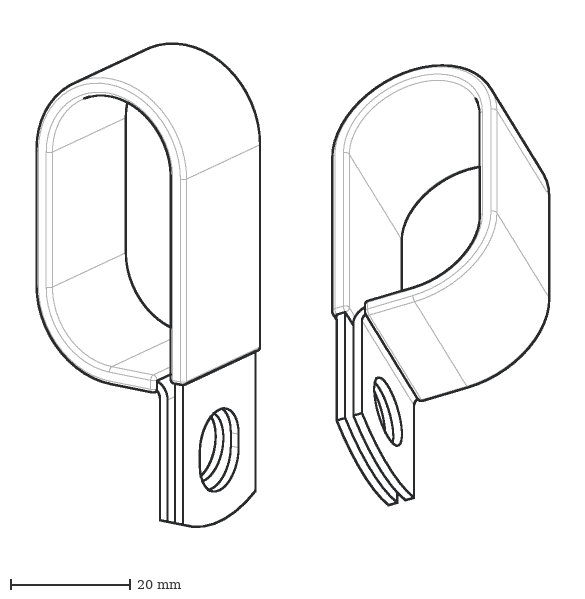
import cadquery as cq

outer_width = 30.0
sleeve_depth = 23.8
overall_height = 78.5

strap_thickness = 1.6
cushion = 0.75
sleeve_thickness = strap_thickness + 2 * cushion
strap_depth = sleeve_depth - 2 * cushion

loop_radius = (outer_width - sleeve_thickness) / 2
loop_straight = 23.8
sleeve_end_x = 9.0
sleeve_end_z = -12.6

tab_gap = 1.5
tab_bend_inner_radius = 1.6
tab_bottom = loop_straight + outer_width / 2 - overall_height
tab_end_rise = 2.4
tab_inner_x = loop_radius - strap_thickness - tab_gap
tab_bend_radius = tab_bend_inner_radius + strap_thickness / 2
tab_bend_start_x = tab_inner_x - tab_bend_radius
hole_diameter = 11.85
hole_height = 12.6
slot_length = 14.2


def extrude_centred(profile, depth):
    """Extrude an XZ profile equally to both sides of the XZ plane."""
    return profile.close().extrude(depth / 2, both=True)


def loop_band(thickness, depth, right_end_z, lower_end_x):
    """Band of constant thickness following the loop from the right end to the lower end."""
    outer = loop_radius + thickness / 2
    inner = loop_radius - thickness / 2
    profile = (
        cq.Workplane("XZ")
        .moveTo(outer, right_end_z)
        .lineTo(outer, loop_straight)
        .threePointArc((0, loop_straight + outer), (-outer, loop_straight))
        .lineTo(-outer, 0)
        .radiusArc((0, -outer), -outer)
        .lineTo(lower_end_x, -outer)
        .lineTo(lower_end_x, -inner)
        .lineTo(0, -inner)
        .radiusArc((-inner, 0), inner)
        .lineTo(-inner, loop_straight)
        .threePointArc((0, loop_straight + inner), (inner, loop_straight))
        .lineTo(inner, right_end_z)
    )
    return extrude_centred(profile, depth)


def cushion_sleeve():
    """Sleeve with rounded rims along both sides and around both ends."""
    sleeve = loop_band(sleeve_thickness, sleeve_depth, sleeve_end_z, sleeve_end_x)
    right_end = cq.selectors.NearestToPointSelector((loop_radius, 0, sleeve_end_z))
    lower_end = cq.selectors.NearestToPointSelector((sleeve_end_x, 0, -loop_radius))
    sides = cq.selectors.ParallelDirSelector(cq.Vector(0, 1, 0))
    return sleeve.faces(sides + right_end + lower_end).edges().fillet(cushion)


def bent_tab():
    """Tab that turns down from the lower end of the loop."""
    half = strap_thickness / 2
    bend_end_z = -loop_radius - tab_bend_radius
    profile = (
        cq.Workplane("XZ")
        .moveTo(tab_bend_start_x, -loop_radius + half)
        .radiusArc((tab_inner_x + half, bend_end_z), tab_bend_radius + half)
        .lineTo(tab_inner_x + half, tab_bottom)
        .lineTo(tab_inner_x - half, tab_bottom)
        .lineTo(tab_inner_x - half, bend_end_z)
        .radiusArc((tab_bend_start_x, -loop_radius - half), -tab_bend_inner_radius)
    )
    return extrude_centred(profile, strap_depth)


def tab_outline():
    """Block with the rounded tab end, reaching past the strap in X and above it in Z."""
    half = strap_depth / 2
    shoulder_z = tab_bottom + tab_end_rise
    return (
        cq.Workplane("YZ")
        .moveTo(-half, tab_bottom + overall_height)
        .lineTo(-half, shoulder_z)
        .threePointArc((0, tab_bottom), (half, shoulder_z))
        .lineTo(half, tab_bottom + overall_height)
        .close()
        .extrude(outer_width, both=True)
    )


def hole_plane():
    """Plane facing +X between the two tabs, centred on the hole axis."""
    middle_x = (tab_inner_x + loop_radius) / 2
    return cq.Workplane("YZ", origin=(middle_x, 0, tab_bottom + hole_height))


def bent_tab_hole():
    """Round hole tool, reaching from between the tabs through the bent tab."""
    return hole_plane().circle(hole_diameter / 2).extrude(-2 * strap_thickness)


def straight_tab_slot():
    """Vertical slot tool, reaching from between the tabs through the straight tab."""
    return hole_plane().slot2D(slot_length, hole_diameter, 90).extrude(2 * strap_thickness)


strap = loop_band(strap_thickness, strap_depth, tab_bottom, tab_bend_start_x)
strap = strap.union(bent_tab()).intersect(tab_outline())
strap = strap.cut(bent_tab_hole()).cut(straight_tab_slot())

result = strap.union(cushion_sleeve())